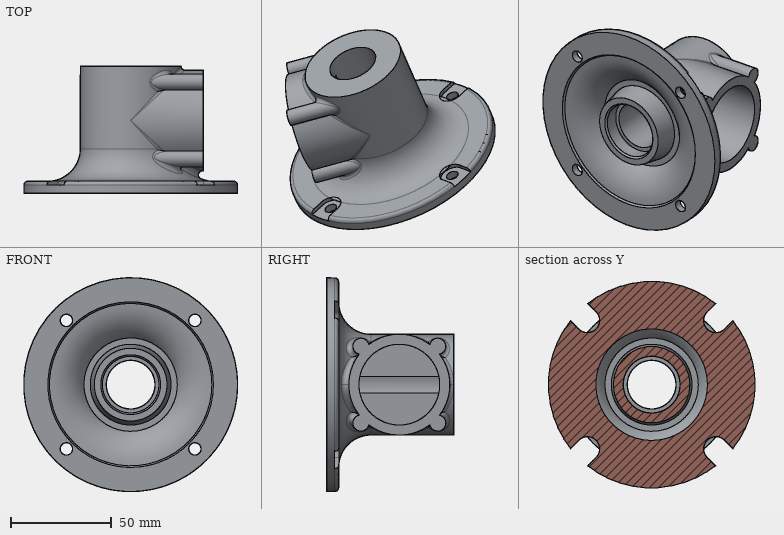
import cadquery as cq
import math

flange_radius = 53.0
flange_thickness = 6.0
flange_edge_round = 2.0
body_length = 63.0
tube_radius = 25.0
wall = 5.0

flare_round = 16.0
flare_center_r = tube_radius + flare_round
flare_center_y = flange_thickness + flare_round
bell_round = flare_round + wall

bell_floor_y = 11.0
bell_mouth_radius = flare_center_r
bell_lip_radius = 40.2
boss_base_radius = 20.0
boss_tip_radius = 18.0

bore_radius = 12.0
bearing_radius = 14.0
bearing_depth = 8.0
bearing_lead_in = 0.8
bearing_lead_in_depth = 1.0

port_center_y = 36.0
port_radius = tube_radius
port_length = 36.0
pocket_radius = port_radius - wall
pocket_depth = 24.7
lobe_radius = 4.0
lobe_offset = 19.0
junction_round = 1.95

screw_circle_radius = 45.0
screw_hole_radius = 3.0
seat_half_width = 6.0
seat_depth = 2.0


def arc_point(arc_radius, r):
    """Point of a flare arc, on the quarter facing the axis and y = 0, at distance r from the axis."""
    across = flare_center_r - r
    return (r, flare_center_y - math.sqrt(arc_radius**2 - across**2))


def arc_middle(arc_radius, r_a, r_b):
    """A point of a flare arc between distances r_a and r_b from the Y axis."""
    return arc_point(arc_radius, (r_a + r_b) / 2)


def turned(profile):
    """Solid of revolution about the Y axis of a closed XY profile."""
    return profile.close().revolve(360, (0, 0, 0), (0, 1, 0))


def x_cylinder(radius, y, z, length):
    """Cylinder along +X, starting on the plane x = 0."""
    return cq.Workplane("YZ").center(y, z).circle(radius).extrude(length)


def outer_body():
    rim_round_y = flange_thickness - flange_edge_round
    rim_round_r = flange_radius - flange_edge_round
    round_45 = flange_edge_round * math.sqrt(0.5)
    return turned(
        cq.Workplane("XY")
        .moveTo(0, 0)
        .lineTo(flange_radius, 0)
        .lineTo(flange_radius, rim_round_y)
        .threePointArc(
            (rim_round_r + round_45, rim_round_y + round_45),
            (rim_round_r, flange_thickness),
        )
        .lineTo(flare_center_r, flange_thickness)
        .threePointArc(
            arc_middle(flare_round, tube_radius, flare_center_r),
            (tube_radius, flare_center_y),
        )
        .lineTo(tube_radius, body_length)
        .lineTo(0, body_length)
    )


def side_port():
    port = x_cylinder(port_radius, port_center_y, 0, port_length)
    for y_side in (-1, 1):
        for z_side in (-1, 1):
            lobe_y = port_center_y + y_side * lobe_offset
            port = port.union(x_cylinder(lobe_radius, lobe_y, z_side * lobe_offset, port_length))
    return port


def bell_recess():
    bell_floor_radius = flare_center_r - math.sqrt(
        bell_round**2 - (flare_center_y - bell_floor_y) ** 2
    )
    return turned(
        cq.Workplane("XY")
        .moveTo(boss_tip_radius, 0)
        .lineTo(bell_mouth_radius, 0)
        .lineTo(*arc_point(bell_round, bell_lip_radius))
        .threePointArc(
            arc_middle(bell_round, bell_floor_radius, bell_lip_radius),
            (bell_floor_radius, bell_floor_y),
        )
        .lineTo(boss_base_radius, bell_floor_y)
    )


def main_bore():
    return turned(
        cq.Workplane("XY")
        .moveTo(0, 0)
        .lineTo(bearing_radius + bearing_lead_in, 0)
        .lineTo(bearing_radius, bearing_lead_in_depth)
        .lineTo(bearing_radius, bearing_depth)
        .lineTo(bore_radius, bearing_depth)
        .lineTo(bore_radius, body_length)
        .lineTo(0, body_length)
    )


def port_pocket():
    pocket = x_cylinder(pocket_radius, port_center_y, 0, pocket_depth)
    return pocket.translate((port_length - pocket_depth, 0, 0))


def seat_with_hole():
    """U-shaped screw seat in the flange back and its through hole, on the +X side."""
    seat_floor_y = flange_thickness - seat_depth
    seat_reach = flange_radius - screw_circle_radius + seat_half_width
    at_screw = cq.Workplane("XZ").center(screw_circle_radius, 0)
    round_end = at_screw.circle(seat_half_width).extrude(-seat_depth)
    open_end = (
        at_screw.center(seat_reach / 2, 0)
        .rect(seat_reach, 2 * seat_half_width)
        .extrude(-seat_depth)
    )
    seat = round_end.union(open_end).translate((0, seat_floor_y, 0))
    hole = at_screw.circle(screw_hole_radius).extrude(-flange_thickness)
    return seat.union(hole)


part = outer_body().union(side_port())
part = part.edges("%ELLIPSE or %BSPLINE").fillet(junction_round)

part = part.cut(bell_recess())
part = part.cut(main_bore())
part = part.cut(port_pocket())

for angle in (45, 135, 225, 315):
    part = part.cut(seat_with_hole().rotate((0, 0, 0), (0, 1, 0), angle))

result = part